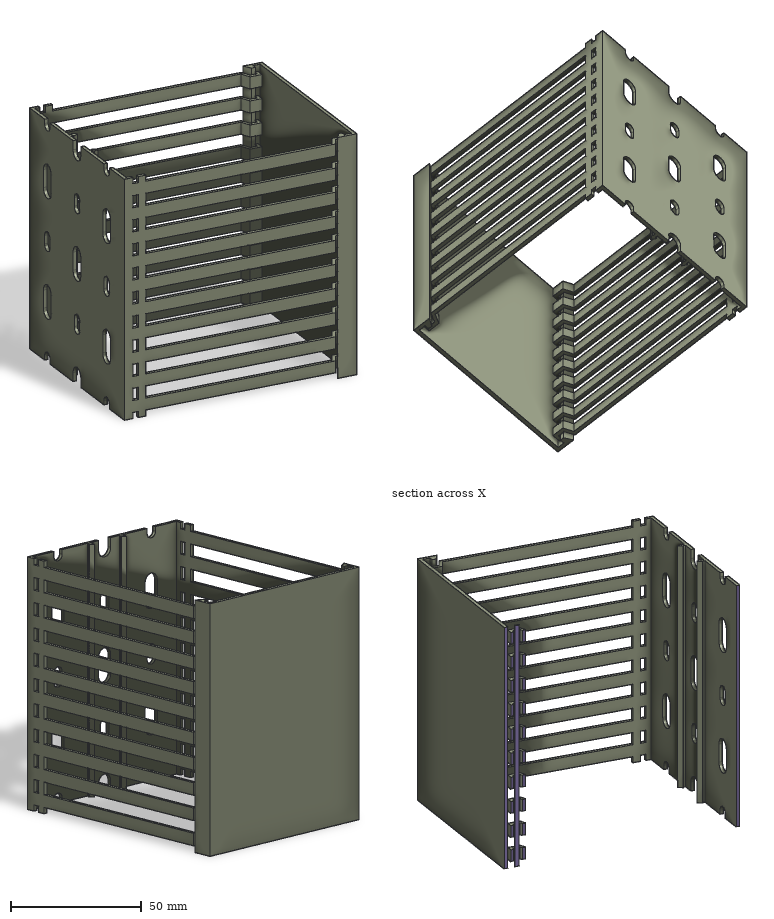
import cadquery as cq

width = 80.0
depth = 100.0
length = 100.0

half_width = width / 2
half_depth = depth / 2
wall = 1.5
cover_plate = 1.6

skirt_drop = 8.3
ledge_top = 4.6
ledge_bottom = 6.3
ledge_reach = 3.4

hook_tip_top = 2.8
hook_tip_bottom = 4.2
hook_tip_inset = 2.0
hook_back_outer = 4.0
hook_back_inner = 5.6
hook_outer_corner = 7.2
hook_inner_corner = 8.0
bend_outer = 9.1
bend_inner = 9.9

finger_pitch = 10.0
gap_width = 5.0
gap_count = 11
rail_bottom = 6.0
rail_top = 9.2
window_bottom = 3.7

rib_offset = 8.6
rib_stem_half = 0.7
rib_barb_half = 1.2
rib_barb_height = 2.6
rib_tip_height = 4.6

slot_pitch = 25.0
large_slot_width = 6.5
large_slot_length = 14.0
small_slot_width = 4.5
small_slot_length = 8.0


def mirrored_profile(half_points):
    """Close a right-hand half outline with its mirror image in the YZ plane."""
    mirror_points = [(-x, y) for x, y in reversed(half_points)]
    return half_points + mirror_points


def extrude_along_duct(points):
    return cq.Workplane("XY").workplane(offset=-length / 2).polyline(points).close().extrude(length)


def make_cover():
    ledge_end = half_width - ledge_reach
    skirt_inside = half_width - wall
    return extrude_along_duct(mirrored_profile([
        (half_width, half_depth),
        (half_width, half_depth - skirt_drop),
        (ledge_end, half_depth - ledge_bottom),
        (ledge_end, half_depth - ledge_top),
        (skirt_inside, half_depth - ledge_top),
        (skirt_inside, half_depth - cover_plate),
    ]))


def make_channel():
    """U-shaped channel with a hook at the end of each wall."""
    hook_tip = half_width - hook_tip_inset
    hook_outside = half_width - hook_back_outer
    hook_inside = half_width - hook_back_inner
    wall_inside = half_width - wall
    return extrude_along_duct(mirrored_profile([
        (half_width, -half_depth),
        (half_width, half_depth - bend_outer),
        (hook_outside, half_depth - hook_outer_corner),
        (hook_outside, half_depth - hook_tip_bottom),
        (hook_tip, half_depth - hook_tip_bottom),
        (hook_tip, half_depth - hook_tip_top),
        (hook_inside, half_depth - hook_tip_top),
        (hook_inside, half_depth - hook_inner_corner),
        (wall_inside, half_depth - bend_inner),
        (wall_inside, wall - half_depth),
    ]))


def make_rib(center_x):
    floor_y = -half_depth
    stem_base = floor_y + wall / 2
    barb_y = floor_y + rib_barb_height
    return extrude_along_duct([
        (center_x - rib_stem_half, stem_base),
        (center_x - rib_stem_half, barb_y),
        (center_x - rib_barb_half, barb_y),
        (center_x, floor_y + rib_tip_height),
        (center_x + rib_barb_half, barb_y),
        (center_x + rib_stem_half, barb_y),
        (center_x + rib_stem_half, stem_base),
    ])


def cut_gaps(duct, low_height, high_height):
    """Cut one row of gaps, between two heights above the floor's outer face, through both walls."""
    row_height = high_height - low_height
    row_middle = low_height + row_height / 2 - half_depth
    gaps = (
        cq.Workplane("YZ")
        .center(row_middle, 0)
        .rarray(1, finger_pitch, 1, gap_count)
        .rect(row_height, gap_width)
        .extrude(half_width, both=True)
    )
    return duct.cut(gaps)


def cut_floor_slots(duct, centers, slot_width, slot_length):
    slots = (
        cq.Workplane("XZ", origin=(0, -half_depth, 0))
        .pushPoints(centers)
        .slot2D(slot_length, slot_width, 90)
        .extrude(-wall)
    )
    return duct.cut(slots)


def make_duct():
    duct = make_channel()

    duct = cut_gaps(duct, rail_top, depth)
    duct = cut_gaps(duct, window_bottom, rail_bottom)

    for side in (-1, 1):
        duct = duct.union(make_rib(side * rib_offset))

    large_centers = []
    small_centers = []
    for column in range(-1, 2):
        for row in range(-2, 3):
            center = (column * slot_pitch, row * slot_pitch)
            if (column + row) % 2 == 0:
                large_centers.append(center)
            else:
                small_centers.append(center)
    duct = cut_floor_slots(duct, large_centers, large_slot_width, large_slot_length)
    duct = cut_floor_slots(duct, small_centers, small_slot_width, small_slot_length)
    return duct


cover = make_cover()
duct = make_duct()

result = cq.Compound.makeCompound([cover.val(), duct.val()])